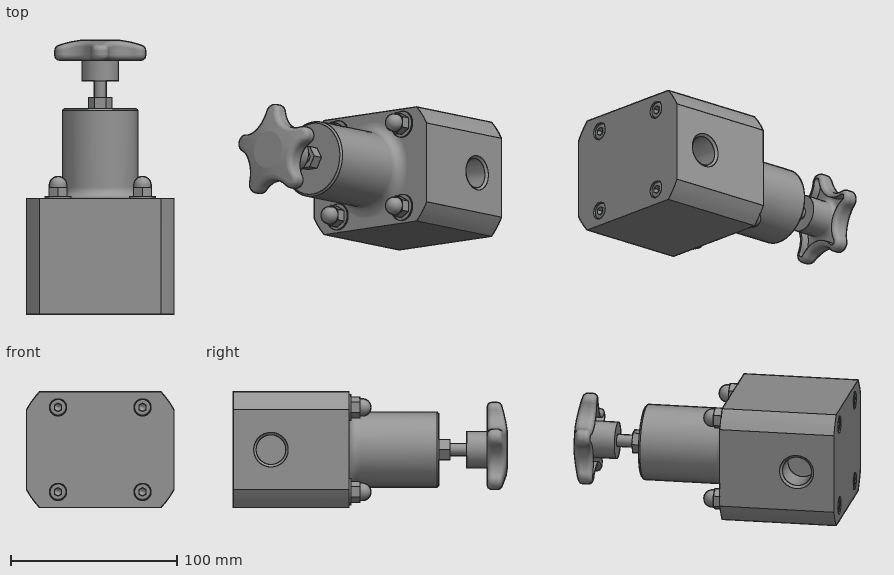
import cadquery as cq
import math

total_length = 165.1

body_width = 88.8
body_height = 69.9
body_length = 69.9
corner_turning_radius = 50.5

port_diameter = 17.8
port_mouth_diameter = 20.8
port_depth = 19.8
port_y = 22.8

screw_spacing = 50.9
counterbore_diameter = 10.4
head_diameter = 9.5
head_height = 6.0
head_recess = 0.5
head_edge_radius = 0.8
socket_flats = 4.5
socket_depth = 3.6
socket_cone_depth = 1.3
counterbore_depth = head_recess + head_height
washer_diameter = 15.9
washer_thickness = 1.0
cap_nut_flats = 11.0
cap_nut_height = 5.5
cap_neck_height = 1.5
cap_dome_diameter = 10.5

bonnet_diameter = 45.5
bonnet_end_y = 123.9
bonnet_chamfer = 1.2
bonnet_flare_radius = 6.5

lock_nut_flats = 12.4
lock_nut_height = 6.8
stem_diameter = 7.5

hub_diameter = 22.1
hub_start_y = 140.5
wheel_start_y = 153.0
wheel_arms = 5
wheel_crown_radius = 87.5
wheel_fillet = 3.0
tip_radius = 5.1
tip_distance = 23.5
valley_distance = 18.0
wheel_wall = 3.1
cavity_depth = 5.3
hub_fillet = 3.0


def rod(start_y, end_y, diameter, x=0, z=0):
    """Round bar parallel to Y."""
    circle = cq.Workplane("XZ", origin=(x, start_y, z)).circle(diameter / 2)
    return circle.extrude(start_y - end_y)


def hex_bar(start_y, end_y, flats, x=0, z=0, corners_on_z=True):
    """Hexagonal bar parallel to Y, with two corners on the Z or the X direction."""
    plane = cq.Workplane("XZ", origin=(x, start_y, z))
    if corners_on_z:
        plane = plane.transformed(rotate=(0, 0, 90))
    corner_diameter = flats / math.cos(math.radians(30))
    return plane.polygon(6, corner_diameter).extrude(start_y - end_y)


def make_body():
    block = cq.Workplane("XY").box(body_width, body_length, body_height)
    block = block.translate((0, body_length / 2, 0))
    return block.intersect(rod(0, body_length, 2 * corner_turning_radius))


def make_port(side):
    """Blind port with a 45 degree mouth; side is -1 or 1 along X."""
    bore_radius = port_diameter / 2
    mouth_radius = port_mouth_diameter / 2
    face_x = side * body_width / 2
    mouth_x = face_x - side * (mouth_radius - bore_radius)
    floor_x = face_x - side * port_depth
    profile = [
        (floor_x, 0),
        (floor_x, bore_radius),
        (mouth_x, bore_radius),
        (face_x, mouth_radius),
        (face_x, 0),
    ]
    port = cq.Workplane("XY").polyline(profile).close().revolve(360, (0, 0), (1, 0))
    return port.translate((0, port_y, 0))


def make_screw_head(x, z):
    """Socket head with a hexagonal recess that ends in a shallow cone."""
    socket_end_y = head_recess + socket_depth
    head = rod(head_recess, counterbore_depth, head_diameter, x, z)
    head = head.faces("<Y").edges().fillet(head_edge_radius)
    socket = hex_bar(head_recess, socket_end_y, socket_flats, x, z)
    cone = cq.Solid.makeCone(
        socket_flats / 2, 0, socket_cone_depth, cq.Vector(x, socket_end_y, z), cq.Vector(0, 1, 0)
    )
    return head.cut(socket).cut(cq.Workplane(cone))


def make_cap_nut(x, z):
    """Washer and hexagon nut closed by a round dome."""
    nut_start = body_length + washer_thickness
    neck_start = nut_start + cap_nut_height
    dome_start = neck_start + cap_neck_height
    washer = rod(body_length, nut_start, washer_diameter, x, z)
    nut = hex_bar(nut_start, neck_start, cap_nut_flats, x, z)
    neck = rod(neck_start, dome_start, cap_dome_diameter, x, z)
    dome = cq.Workplane("XY").sphere(cap_dome_diameter / 2).translate((x, dome_start, z))
    return washer.union(nut).union(neck).union(dome)


def make_bonnet():
    radius = bonnet_diameter / 2
    flare_end_y = body_length + bonnet_flare_radius
    foot_radius = radius + bonnet_flare_radius
    arc_offset = bonnet_flare_radius * (1 - math.sin(math.radians(45)))
    return (
        cq.Workplane("XY")
        .moveTo(0, body_length)
        .lineTo(foot_radius, body_length)
        .threePointArc((radius + arc_offset, body_length + arc_offset), (radius, flare_end_y))
        .lineTo(radius, bonnet_end_y - bonnet_chamfer)
        .lineTo(radius - bonnet_chamfer, bonnet_end_y)
        .lineTo(0, bonnet_end_y)
        .close()
        .revolve(360, (0, 0), (0, 1))
    )


def make_stem():
    lock_nut = hex_bar(
        bonnet_end_y, bonnet_end_y + lock_nut_height, lock_nut_flats, corners_on_z=False
    )
    return rod(bonnet_end_y, hub_start_y, stem_diameter).union(lock_nut)


def polar(distance, angle):
    return distance * math.cos(angle), distance * math.sin(angle)


def make_star(tip_round, valley_reach):
    """Five-armed star: round tips joined by hollow arcs tangent to them, one arm along +Z."""
    half_pitch = math.pi / wheel_arms
    inset = valley_reach - tip_round
    hollow_distance = (tip_distance**2 - inset**2) / (2 * (tip_distance * math.cos(half_pitch) - inset))
    hollow_radius = hollow_distance - valley_reach
    tangent_share = tip_round / (tip_round + hollow_radius)

    def tangent_point(tip_angle, hollow_angle):
        tip_x, tip_z = polar(tip_distance, tip_angle)
        hollow_x, hollow_z = polar(hollow_distance, hollow_angle)
        return tip_x + tangent_share * (hollow_x - tip_x), tip_z + tangent_share * (hollow_z - tip_z)

    first_angle = math.pi / 2
    outline = cq.Workplane("XZ", origin=(0, wheel_start_y, 0))
    outline = outline.moveTo(*tangent_point(first_angle, first_angle - half_pitch))
    for arm in range(wheel_arms):
        tip_angle = first_angle + 2 * half_pitch * arm
        valley_angle = tip_angle + half_pitch
        next_tip_angle = valley_angle + half_pitch
        tip_end = polar(tip_distance + tip_round, tip_angle)
        outline = outline.threePointArc(tip_end, tangent_point(tip_angle, valley_angle))
        valley = polar(valley_reach, valley_angle)
        outline = outline.threePointArc(valley, tangent_point(next_tip_angle, valley_angle))
    return outline.close()


def make_wheel():
    """Star under a flat-topped spherical crown, hollow underneath around the hub."""
    star = make_star(tip_radius, valley_distance).extrude(wheel_start_y - total_length)
    crown = cq.Workplane("XY").sphere(wheel_crown_radius)
    crown_centre_y = total_length - math.sqrt(wheel_crown_radius**2 - (hub_diameter / 2) ** 2)
    crown = crown.translate((0, crown_centre_y, 0))
    wheel = star.intersect(crown)
    wheel = wheel.faces("<Y").edges().fillet(wheel_fillet)
    wheel = wheel.faces("%SPHERE").edges("not(%CIRCLE)").fillet(wheel_fillet)

    cavity = make_star(tip_radius - wheel_wall, valley_distance - wheel_wall).extrude(-cavity_depth)
    return wheel.cut(cavity).union(make_hub())


def make_hub():
    """Hub that flares into the floor of the wheel cavity."""
    radius = hub_diameter / 2
    floor_y = wheel_start_y + cavity_depth
    arc_offset = hub_fillet * (1 - math.sin(math.radians(45)))
    return (
        cq.Workplane("XY")
        .moveTo(0, hub_start_y)
        .lineTo(radius, hub_start_y)
        .lineTo(radius, floor_y - hub_fillet)
        .threePointArc((radius + arc_offset, floor_y - arc_offset), (radius + hub_fillet, floor_y))
        .lineTo(0, floor_y)
        .close()
        .revolve(360, (0, 0), (0, 1))
    )


result = make_body()
for side in (-1, 1):
    result = result.cut(make_port(side))
result = result.union(make_bonnet())

for x in (-screw_spacing / 2, screw_spacing / 2):
    for z in (-screw_spacing / 2, screw_spacing / 2):
        result = result.cut(rod(0, counterbore_depth, counterbore_diameter, x, z))
        result = result.union(make_screw_head(x, z))
        result = result.union(make_cap_nut(x, z))

result = result.union(make_stem())
result = result.union(make_wheel())